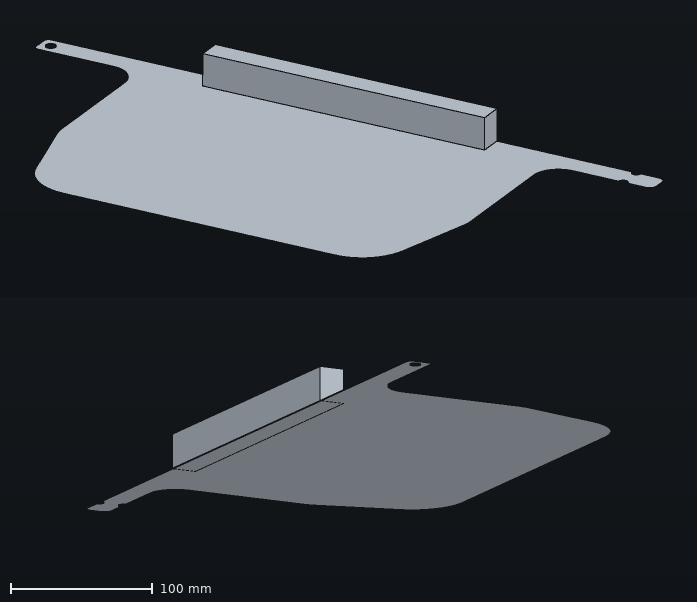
import cadquery as cq
import math

length = 500.0
depth = 228.0
height = 25.5
plate_thickness = 0.5

arm_width = 19.5
panel_width = 330.0
taper_start = 135.0
taper_angle = 15.0
arm_fillet = 20.0
knee_fillet = 30.0
front_corner_fillet = 40.0
left_end_fillet = 4.0
right_end_fillet = 6.0

hole_diameter = 7.5
hole_end_distance = 9.0
notch_radius = 3.5
notch_end_distance = 24.0

bar_length = 227.5
bar_width = 18.5

half_length = length / 2
half_panel = panel_width / 2
half_front = half_panel - (depth - taper_start) * math.tan(math.radians(taper_angle))


def fillet_corners(body, corners, radius):
    """Round the vertical edges that stand at the given XY corners."""
    for x, y in corners:
        corner_edge = cq.selectors.NearestToPointSelector((x, y, plate_thickness / 2))
        body = body.edges("|Z").edges(corner_edge).fillet(radius)
    return body


def mirrored_pair(x, y):
    return [(-x, y), (x, y)]


def make_plate():
    """Thin panel with two arms, a hole in the left arm and notches in the right."""
    right_half = [
        (half_front, -depth),
        (half_panel, -taper_start),
        (half_panel, -arm_width),
        (half_length, -arm_width),
        (half_length, 0),
    ]
    left_half = [(-x, y) for x, y in reversed(right_half)]
    plate = cq.Workplane("XY").polyline(right_half + left_half).close().extrude(plate_thickness)

    plate = fillet_corners(plate, mirrored_pair(half_panel, -arm_width), arm_fillet)
    plate = fillet_corners(plate, mirrored_pair(half_panel, -taper_start), knee_fillet)
    plate = fillet_corners(plate, mirrored_pair(half_front, -depth), front_corner_fillet)
    arm_edges = (0, -arm_width)
    plate = fillet_corners(plate, [(-half_length, y) for y in arm_edges], left_end_fillet)
    plate = fillet_corners(plate, [(half_length, y) for y in arm_edges], right_end_fillet)

    hole = (
        cq.Workplane("XY")
        .center(hole_end_distance - half_length, -arm_width / 2)
        .circle(hole_diameter / 2)
        .extrude(plate_thickness)
    )
    notches = (
        cq.Workplane("XY")
        .pushPoints([(half_length - notch_end_distance, y) for y in arm_edges])
        .circle(notch_radius)
        .extrude(plate_thickness)
    )
    return plate.cut(hole).cut(notches)


def make_bar():
    """Rectangular bar standing on the plate, flush with its back edge."""
    return (
        cq.Workplane("XY")
        .workplane(offset=plate_thickness)
        .center(0, -bar_width / 2)
        .rect(bar_length, bar_width)
        .extrude(height - plate_thickness)
    )


plate = make_plate()
bar = make_bar()

result = cq.Compound.makeCompound([plate.val(), bar.val()])